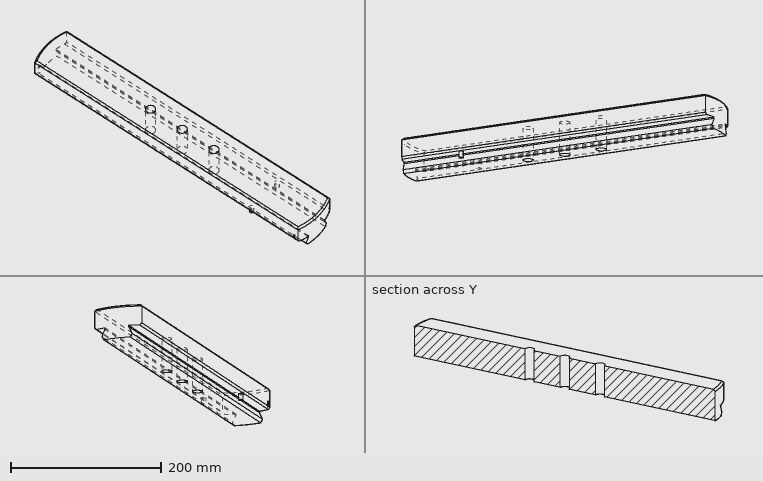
import cadquery as cq

length = 462.5
width = 68.0
height = 45.0

end_bulge = 6.5
edge_chamfer = 3.0
shoulder_height = 16.0

neck_half_width = 17.0
neck_height = 2.0
foot_half_width = 21.7
foot_lip_height = 4.5
base_half_width = 19.0

hole_diameter = 13.5
hole_spacing = 54.0
hole_count = 3

pin_diameter = 6.0
pin_length = 8.5
pin_x = 140.0
pin_y = 27.0

notch_x = 218.5
notch_width = 1.5
notch_height = 6.5
notch_depth = 1.0


def round_ended_plan():
    """Plan outline, extruded upward: straight sides and bowed ends."""
    end_x = length / 2
    corner_x = end_x - end_bulge
    side_y = width / 2
    return (
        cq.Workplane("XY")
        .moveTo(-corner_x, -side_y)
        .lineTo(corner_x, -side_y)
        .threePointArc((end_x, 0), (corner_x, side_y))
        .lineTo(-corner_x, side_y)
        .threePointArc((-end_x, 0), (-corner_x, -side_y))
        .close()
        .extrude(height)
    )


def upper_body():
    """Bar above the shoulders, with chamfered top rim and lower long edges."""
    below_shoulder = cq.Workplane("XY").box(
        length, width, shoulder_height, centered=(True, True, False)
    )
    body = round_ended_plan().cut(below_shoulder)
    body = body.faces(">Z").edges().chamfer(edge_chamfer)
    return body.faces("<Z").edges("|X").chamfer(edge_chamfer)


def dovetail_foot():
    """Dovetail profile along X, trimmed to the rounded ends."""
    half_profile = [
        (base_half_width, 0),
        (foot_half_width, foot_lip_height),
        (neck_half_width, shoulder_height - neck_height),
        (neck_half_width, shoulder_height),
    ]
    mirrored_profile = [(-y, z) for y, z in reversed(half_profile)]
    prism = (
        cq.Workplane("YZ")
        .polyline(half_profile + mirrored_profile)
        .close()
        .extrude(length / 2, both=True)
    )
    return prism.intersect(round_ended_plan())


def stop_pins():
    """Pair of round pins, one under each shoulder."""
    return (
        cq.Workplane("XY", origin=(0, 0, shoulder_height))
        .pushPoints([(pin_x, -pin_y), (pin_x, pin_y)])
        .circle(pin_diameter / 2)
        .extrude(-pin_length)
    )


def mounting_holes():
    """Row of through holes along the centreline."""
    return (
        cq.Workplane("XY")
        .rarray(hole_spacing, 4.5, hole_count, 1)
        .circle(hole_diameter / 2)
        .extrude(height)
    )


def edge_notch():
    """Shallow notch rising from the shoulder into the front face."""
    return cq.Workplane("XY").box(
        notch_width, 2 * notch_depth, 2 * (notch_height + edge_chamfer)
    ).translate((notch_x, -width / 2, shoulder_height))


result = upper_body().union(dovetail_foot()).union(stop_pins())
result = result.cut(mounting_holes()).cut(edge_notch())